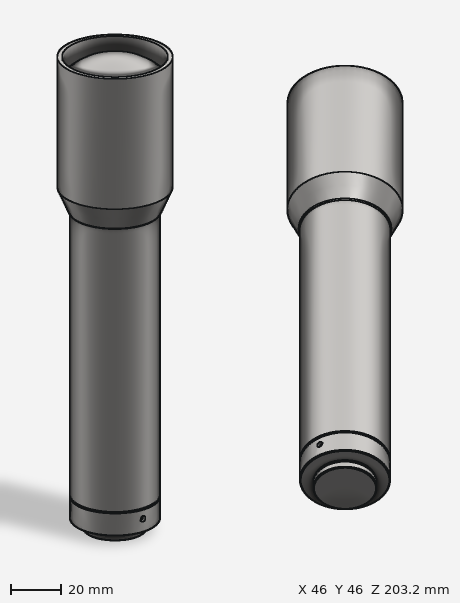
import cadquery as cq
import math

total_length = 203.2
mount_length = 4.3
groove_bottom = 14.0
cone_bottom = 137.0
cone_top = 147.0

barrel_diameter = 36.0
head_diameter = 46.0
cone_base_diameter = 37.0
bore_diameter = 42.0

mount_diameter = 25.4
relief_diameter = 24.5
relief_width = 1.0
mount_bevel = 0.5
shoulder_bevel = 0.5

groove_width = 0.6
groove_depth = 0.5

screw_diameter = 2.5
screw_depth = 1.6
screw_height = 10.2
screw_count = 3
first_screw_angle = 90.0

lens_sphere_radius = 29.7
lens_edge_thickness = 2.0

barrel_radius = barrel_diameter / 2
cone_lip = cone_base_diameter / 2 - barrel_radius
bore_radius = bore_diameter / 2
lens_sag = lens_sphere_radius - math.sqrt(lens_sphere_radius**2 - bore_radius**2)
lens_rim_height = total_length - lens_sag
lens_seat_height = lens_rim_height - lens_edge_thickness


def cylinder(diameter, bottom, top):
    """Solid cylinder on the Z axis between two heights."""
    return cq.Workplane("XY").workplane(offset=bottom).circle(diameter / 2).extrude(top - bottom)


def ring_groove(outer_diameter, inner_diameter, bottom, width):
    """Ring of material to remove from a cylinder of the outer diameter."""
    return cylinder(outer_diameter, bottom, bottom + width).cut(
        cylinder(inner_diameter, bottom, bottom + width)
    )


def make_blank():
    """Revolve the mount, barrel, cone and head as one solid."""
    profile = (
        cq.Workplane("XZ")
        .lineTo(mount_diameter / 2 - mount_bevel, 0)
        .lineTo(mount_diameter / 2, mount_bevel)
        .lineTo(mount_diameter / 2, mount_length)
        .lineTo(barrel_radius - shoulder_bevel, mount_length)
        .lineTo(barrel_radius, mount_length + shoulder_bevel)
        .lineTo(barrel_radius, cone_bottom - cone_lip)
        .lineTo(barrel_radius + cone_lip, cone_bottom)
        .lineTo(head_diameter / 2, cone_top)
        .lineTo(head_diameter / 2, total_length)
        .lineTo(0, total_length)
        .close()
    )
    return profile.revolve(360, (0, 0, 0), (0, 1, 0))


def make_screw_hole(angle):
    """Blind radial hole running inward from the barrel surface."""
    hole = (
        cq.Workplane("YZ")
        .workplane(offset=barrel_radius - screw_depth)
        .center(0, screw_height)
        .circle(screw_diameter / 2)
        .extrude(2 * screw_depth)
    )
    return hole.rotate((0, 0, 0), (0, 0, 1), angle)


def make_housing():
    """Tube with its grooves, lens recess and set screw holes."""
    body = make_blank()
    body = body.cut(cylinder(bore_diameter, lens_seat_height, total_length))
    relief_bottom = mount_length - relief_width
    body = body.cut(ring_groove(mount_diameter, relief_diameter, relief_bottom, relief_width))
    groove_floor = barrel_diameter - 2 * groove_depth
    body = body.cut(ring_groove(barrel_diameter, groove_floor, groove_bottom, groove_width))
    for index in range(screw_count):
        body = body.cut(make_screw_hole(first_screw_angle + index * 360 / screw_count))
    return body


def make_lens():
    """Lens with a flat back, a cylindrical edge and a spherical front."""
    half_angle = math.asin(bore_radius / lens_sphere_radius) / 2
    sphere_centre = total_length - lens_sphere_radius
    arc_middle = (
        lens_sphere_radius * math.sin(half_angle),
        sphere_centre + lens_sphere_radius * math.cos(half_angle),
    )
    profile = (
        cq.Workplane("XZ")
        .moveTo(0, lens_seat_height)
        .lineTo(bore_radius, lens_seat_height)
        .lineTo(bore_radius, lens_rim_height)
        .threePointArc(arc_middle, (0, total_length))
        .close()
    )
    return profile.revolve(360, (0, 0, 0), (0, 1, 0))


housing = make_housing()
lens = make_lens()

result = cq.Compound.makeCompound([housing.val(), lens.val()])